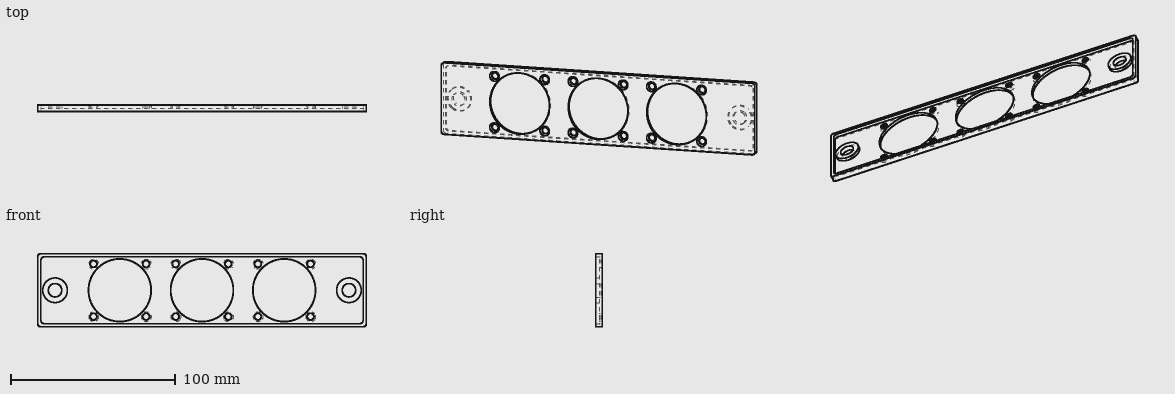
import cadquery as cq

length = 199.6
thickness = 4.0
height = 44.5
corner_radius = 2.0
rim_width = 2.0
recess_corner_radius = 2.0
recess_depth = 2.0

opening_count = 3
opening_pitch = 49.9
opening_diameter = 38.0
screw_spacing = 32.0
screw_diameter = 4.0
countersink_diameter = 6.0
countersink_depth = 1.0
countersink_half_angle = 45.0

boss_offset = 89.2
boss_diameter = 15.0
boss_height = recess_depth
boss_hole_diameter = 8.2
boss_hole_depth = 3.0

floor_y = recess_depth
boss_top_y = floor_y - boss_height
boss_centers = [(-boss_offset, 0), (boss_offset, 0)]
opening_centers = [
    ((i - (opening_count - 1) / 2) * opening_pitch, 0) for i in range(opening_count)
]


def front_plane(y):
    """Sketch plane at depth y; a positive extrusion runs toward -Y, a negative one toward +Y.

    Every sketch is symmetric in X and Z.
    """
    return cq.Workplane("XZ", origin=(0, y, 0))


def rounded_block(size_x, size_z, radius, depth):
    block = front_plane(0).rect(size_x, size_z).extrude(-depth)
    return block.edges("|Y").fillet(radius)


def cylinders(centers, diameter, start_y, depth):
    return front_plane(start_y).pushPoints(centers).circle(diameter / 2).extrude(-depth)


plate = rounded_block(length, height, corner_radius, thickness)
recess = rounded_block(
    length - 2 * rim_width, height - 2 * rim_width, recess_corner_radius, recess_depth
)
plate = plate.cut(recess)

plate = plate.union(cylinders(boss_centers, boss_diameter, boss_top_y, boss_height))
plate = plate.cut(cylinders(boss_centers, boss_hole_diameter, boss_top_y, boss_hole_depth))

screw_centers = [
    (x + side_x * screw_spacing / 2, z + side_z * screw_spacing / 2)
    for x, z in opening_centers
    for side_x in (-1, 1)
    for side_z in (-1, 1)
]
plate = plate.cut(cylinders(opening_centers, opening_diameter, 0, thickness))
plate = plate.cut(cylinders(screw_centers, screw_diameter, 0, thickness))

countersinks = (
    front_plane(thickness)
    .pushPoints(screw_centers)
    .circle(countersink_diameter / 2)
    .extrude(countersink_depth, taper=countersink_half_angle)
)
plate = plate.cut(countersinks)

result = plate